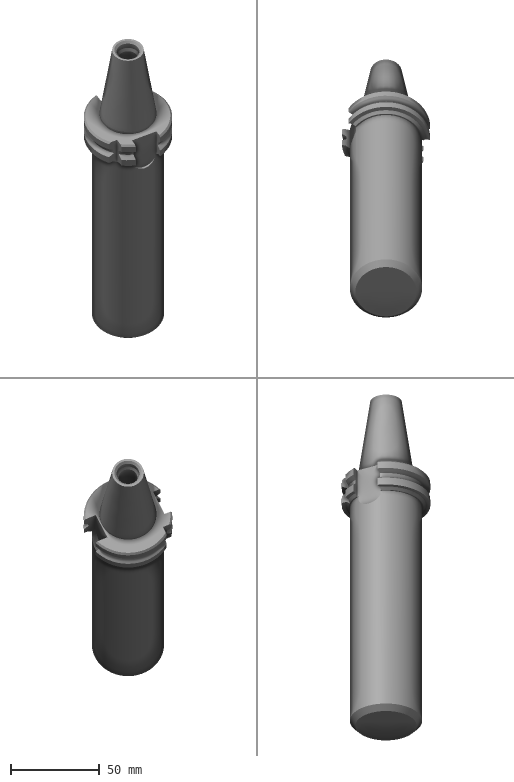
import cadquery as cq

total_height = 207.8
body_radius = 20.4
bottom_chamfer = 3.1

flange_radius = 25.0
flange_top = 156.9
flange_bottom = 141.3
flange_chamfer = 1.0
rim_height = 5.0
groove_radius = 22.5
groove_wall_height = 1.9
groove_height = 6.2
collar_top_radius = 22.7
collar_bottom_radius = 21.2
collar_height = 1.5

taper_radius = 16.0
taper_base = 159.2
land_height = 1.2
neck_radius = 15.4
taper_tip_radius = taper_radius - (total_height - taper_base) * 7 / 48

slot_width = 15.5
slot_bottom = 133.0
left_slot_floor = 16.5
right_slot_floor = 19.1

notch_x = 14.8
notch_y = 15.0

mouth_radius = 7.7
mouth_depth = 1.2
counterbore_radius = 6.5
counterbore_depth = 4.5
shoulder_height = 1.7
bore_radius = 5.5
bore_depth = 33.2
floor_cone_height = 3.1


def revolve(points):
    """Turn a closed (radius, height) outline around the Z axis."""
    return cq.Workplane("XZ").polyline(points).close().revolve(360, (0, 0), (0, 1))


def holder_blank():
    groove_top = flange_top - rim_height
    groove_bottom = groove_top - groove_height
    return revolve([
        (0, 0),
        (body_radius - bottom_chamfer, 0),
        (body_radius, bottom_chamfer),
        (body_radius, flange_bottom - collar_height),
        (collar_bottom_radius, flange_bottom - collar_height),
        (collar_top_radius, flange_bottom),
        (flange_radius, flange_bottom),
        (flange_radius, groove_bottom),
        (groove_radius, groove_bottom + groove_wall_height),
        (groove_radius, groove_top - groove_wall_height),
        (flange_radius, groove_top),
        (flange_radius, flange_top - flange_chamfer),
        (flange_radius - flange_chamfer, flange_top),
        (neck_radius, flange_top),
        (neck_radius, taper_base - land_height),
        (taper_radius, taper_base - land_height),
        (taper_radius, taper_base),
        (taper_tip_radius, total_height),
        (0, total_height),
    ])


def tip_bore():
    shoulder_top = total_height - counterbore_depth
    bore_floor = total_height - bore_depth
    return revolve([
        (0, total_height),
        (mouth_radius, total_height),
        (counterbore_radius, total_height - mouth_depth),
        (counterbore_radius, shoulder_top),
        (bore_radius, shoulder_top - shoulder_height),
        (bore_radius, bore_floor),
        (0, bore_floor - floor_cone_height),
    ])


def drive_slot(floor, side):
    """Slot cut outwards from x = side * floor; side is -1 or +1."""
    half_width = slot_width / 2
    arc_height = slot_bottom + half_width
    return (
        cq.Workplane("YZ", origin=(side * floor, 0, 0))
        .moveTo(-half_width, flange_top)
        .lineTo(-half_width, arc_height)
        .threePointArc((0, slot_bottom), (half_width, arc_height))
        .lineTo(half_width, flange_top)
        .close()
        .extrude(side * flange_radius)
    )


def orientation_notch():
    notch_bottom = flange_bottom - collar_height
    return cq.Workplane("XY").box(
        flange_radius, flange_radius, flange_top - notch_bottom, centered=False
    ).translate((notch_x, -notch_y - flange_radius, notch_bottom))


result = (
    holder_blank()
    .cut(tip_bore())
    .cut(drive_slot(left_slot_floor, -1))
    .cut(drive_slot(right_slot_floor, 1))
    .cut(orientation_notch())
)